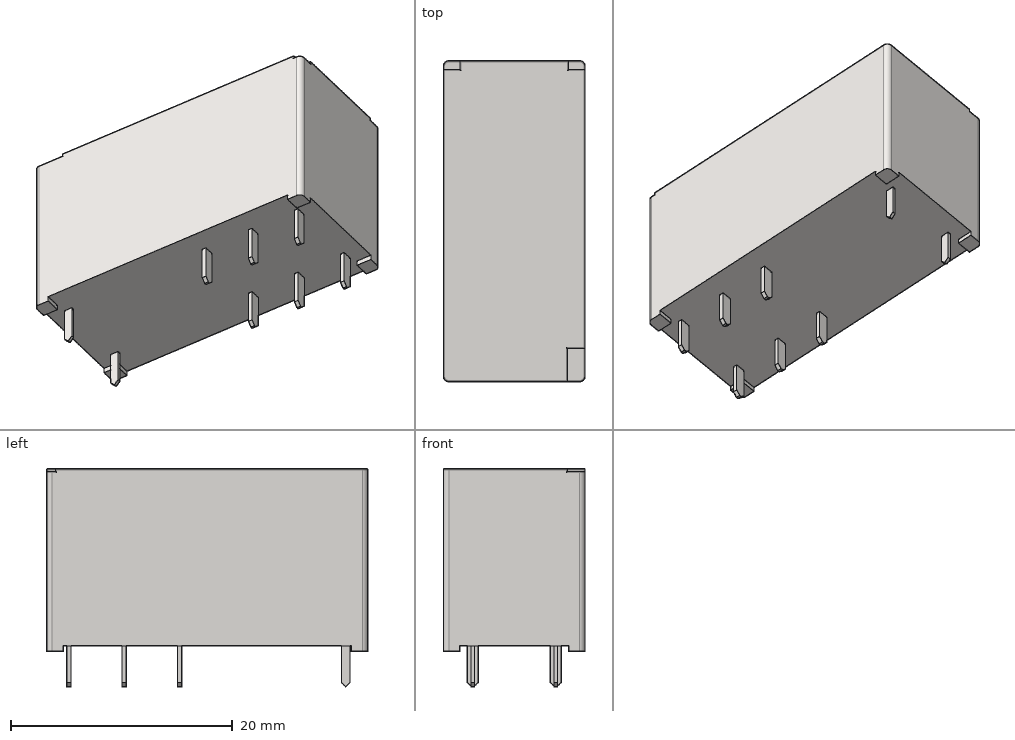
import cadquery as cq

length_x = 12.8
length_y = 29.0
housing_height = 16.5
corner_radius = 0.5
top_edge_radius = 0.1
tolerance = 0.001

foot_size = 1.5
standoff = 0.5

step_depth = 0.25
back_step_x = 1.5
back_step_y = 0.8
front_step_x = 1.6
front_step_y = 3.0

pin_length = 3.2
pin_column_x = 3.75
pin_taper = 0.4
pin_embed = 0.5
contact_pin_width = 1.0
contact_pin_thickness = 0.4
contact_pin_rows_y = (2.5, 7.5, 12.5)
coil_pin_width = 0.8
coil_pin_thickness = 0.3
coil_pin_row_y = -12.5


def make_blank():
    """Housing block with rounded upright edges, standing on Z = 0."""
    block = cq.Workplane("XY").rect(length_x, length_y).extrude(housing_height)
    return block.edges("|Z").fillet(corner_radius)


def corner_step(side_x, side_y, size_x, size_y):
    """Cutter for a step in the top corner on the given sides (+1 or -1)."""
    center_x = side_x * (length_x - size_x) / 2
    center_y = side_y * (length_y - size_y) / 2
    return (
        cq.Workplane("XY", origin=(center_x, center_y, housing_height))
        .rect(size_x, size_y)
        .extrude(-step_depth)
    )


def underside_recess():
    """Cross-shaped cutter that leaves only the four corner feet."""
    along_x = cq.Workplane("XY").rect(length_x, length_y - 2 * foot_size).extrude(standoff)
    along_y = cq.Workplane("XY").rect(length_x - 2 * foot_size, length_y).extrude(standoff)
    return along_x.union(along_y)


def is_rim_edge(edge):
    """True for edges of the top face and for the outward edges of the steps."""
    center = edge.Center()
    if center.z > housing_height - tolerance:
        return True
    inset_x = length_x / 2 - abs(center.x)
    inset_y = length_y / 2 - abs(center.y)
    on_outside = min(inset_x, inset_y) < corner_radius / 2
    return on_outside and center.z > housing_height - step_depth - tolerance


def make_housing():
    """Housing with corner steps, a softened top rim and corner feet."""
    housing = make_blank()
    for side_x in (-1, 1):
        housing = housing.cut(corner_step(side_x, 1, back_step_x, back_step_y))
    housing = housing.cut(corner_step(1, -1, front_step_x, front_step_y))
    housing = housing.edges().filter(is_rim_edge).fillet(top_edge_radius)
    return housing.cut(underside_recess())


def flat_pin(plane, center_x, center_y, width, thickness):
    """Flat pin, wide along the plane's horizontal axis, with a tapered tip."""
    half_width = width / 2
    half_tip = half_width - pin_taper
    root_z = standoff + pin_embed
    shoulder_z = pin_taper - pin_length
    outline = cq.Workplane(plane, origin=(center_x, center_y, 0)).moveTo(-half_width, root_z)
    outline = outline.lineTo(-half_width, shoulder_z).lineTo(-half_tip, -pin_length)
    if half_tip > 0:
        outline = outline.lineTo(half_tip, -pin_length)
    outline = outline.lineTo(half_width, shoulder_z).lineTo(half_width, root_z).close()
    return outline.extrude(thickness / 2, both=True)


def add_pins(body):
    """Two columns of pins: contact pins wide along X, coil pins wide along Y."""
    for pin_x in (-pin_column_x, pin_column_x):
        for pin_y in contact_pin_rows_y:
            body = body.union(flat_pin("XZ", pin_x, pin_y, contact_pin_width, contact_pin_thickness))
        body = body.union(flat_pin("YZ", pin_x, coil_pin_row_y, coil_pin_width, coil_pin_thickness))
    return body


result = add_pins(make_housing())